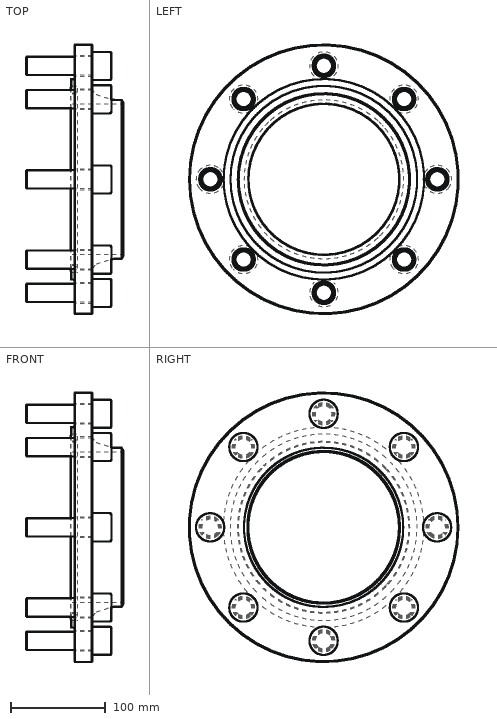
import cadquery as cq


flange_diameter = 285.0
flange_thickness = 19.0
flange_chamfer = 0.9
raised_face_diameter = 212.0
raised_face_height = 3.5
raised_face_fillet = 0.9
bore_diameter = 159.3

neck_length = 32.8
taper_length = 21.0
taper_base_diameter = 181.8
pipe_diameter = 168.5
neck_root_fillet = 9.0
taper_end_fillet = 12.0
weld_land = 1.0
weld_bevel_length = 2.3

groove_outer_diameter = 197.5
groove_inner_diameter = 180.0
seal_section_diameter = 7.7
seal_protrusion = 0.9

bolt_count = 8
bolt_circle_diameter = 240.0
bolt_hole_diameter = 22.0
bolt_hole_chamfer = 0.9
bolt_protrusion = 47.5
shank_diameter = 19.7
shank_chamfer = 1.0
head_diameter = 30.0
head_height = 20.0
head_fillet = 1.7

disc_front = raised_face_height
disc_back = disc_front + flange_thickness
taper_end = disc_back + taper_length
neck_end = disc_back + neck_length
flange_radius = flange_diameter / 2
raised_face_radius = raised_face_diameter / 2
bore_radius = bore_diameter / 2
taper_base_radius = taper_base_diameter / 2
pipe_radius = pipe_diameter / 2
groove_depth = seal_section_diameter - seal_protrusion
seal_centre_radius = (groove_outer_diameter - seal_section_diameter) / 2
shank_length = bolt_protrusion + disc_back
bolt_angles = [index * 360 / bolt_count for index in range(bolt_count)]


def revolve_about_x(profile):
    """Revolve a profile drawn as (axial X, radial Y) a full turn about the X axis."""
    return profile.revolve(360, (0, 0, 0), (1, 0, 0))


def place_on_bolt_circle(shape, angle):
    """Move a shape centred on the X axis to the bolt circle, at the given angle about X."""
    return shape.translate((0, bolt_circle_diameter / 2, 0)).rotate((0, 0, 0), (1, 0, 0), angle)


def fillet_ring(body, axial, radius, fillet_radius):
    """Fillet the circular edge of the given radius that lies at the given X."""
    tolerance = 0.003

    def is_wanted(edge):
        at_place = abs(edge.Center().x - axial) < tolerance
        return at_place and edge.geomType() == "CIRCLE" and abs(edge.radius() - radius) < tolerance

    return body.edges().filter(is_wanted).fillet(fillet_radius)


def make_flange_blank():
    """Disc, raised face, neck and bore as one turned shape."""
    profile = (
        cq.Workplane("XY")
        .moveTo(0, bore_radius)
        .lineTo(0, raised_face_radius)
        .lineTo(disc_front, raised_face_radius)
        .lineTo(disc_front, flange_radius - flange_chamfer)
        .lineTo(disc_front + flange_chamfer, flange_radius)
        .lineTo(disc_back - flange_chamfer, flange_radius)
        .lineTo(disc_back, flange_radius - flange_chamfer)
        .lineTo(disc_back, taper_base_radius)
        .lineTo(taper_end, pipe_radius)
        .lineTo(neck_end - weld_bevel_length, pipe_radius)
        .lineTo(neck_end, bore_radius + weld_land)
        .lineTo(neck_end, bore_radius)
        .close()
    )
    blank = revolve_about_x(profile)
    blank = fillet_ring(blank, disc_front, raised_face_radius, raised_face_fillet)
    blank = fillet_ring(blank, disc_back, taper_base_radius, neck_root_fillet)
    return fillet_ring(blank, taper_end, pipe_radius, taper_end_fillet)


def make_seal_groove():
    return (
        cq.Workplane("YZ")
        .circle(groove_outer_diameter / 2)
        .circle(groove_inner_diameter / 2)
        .extrude(groove_depth)
    )


def make_bolt_hole(angle):
    """Cutter for one bolt hole, widened by a chamfer at the front of the disc."""
    hole_radius = bolt_hole_diameter / 2
    profile = (
        cq.Workplane("XY")
        .moveTo(disc_front, 0)
        .lineTo(disc_front, hole_radius + bolt_hole_chamfer)
        .lineTo(disc_front + bolt_hole_chamfer, hole_radius)
        .lineTo(disc_back, hole_radius)
        .lineTo(disc_back, 0)
        .close()
    )
    return place_on_bolt_circle(revolve_about_x(profile), angle)


def make_flange():
    flange = make_flange_blank().cut(make_seal_groove())
    for angle in bolt_angles:
        flange = flange.cut(make_bolt_hole(angle))
    return flange


def make_seal_ring():
    """Round-section ring that rests on the groove floor and its outer wall."""
    section_centre_x = groove_depth - seal_section_diameter / 2
    section = cq.Workplane("XY").center(section_centre_x, seal_centre_radius)
    ring_axis_start = (0, -seal_centre_radius, 0)
    ring_axis_end = (1, -seal_centre_radius, 0)
    return section.circle(seal_section_diameter / 2).revolve(360, ring_axis_start, ring_axis_end)


def make_bolt(angle):
    """Bolt at the given angle about X, its head seated on the back of the disc."""
    shank = (
        cq.Workplane("YZ")
        .workplane(offset=-bolt_protrusion)
        .circle(shank_diameter / 2)
        .extrude(shank_length)
        .faces("<X")
        .chamfer(shank_chamfer)
    )
    head = (
        cq.Workplane("YZ")
        .workplane(offset=disc_back)
        .circle(head_diameter / 2)
        .extrude(head_height)
        .faces(">X")
        .edges()
        .fillet(head_fillet)
    )
    return place_on_bolt_circle(shank.union(head), angle)


flange = make_flange()
seal_ring = make_seal_ring()
bolts = [make_bolt(angle) for angle in bolt_angles]

result = cq.Compound.makeCompound(
    [flange.val(), seal_ring.val(), *[bolt.val() for bolt in bolts]]
)